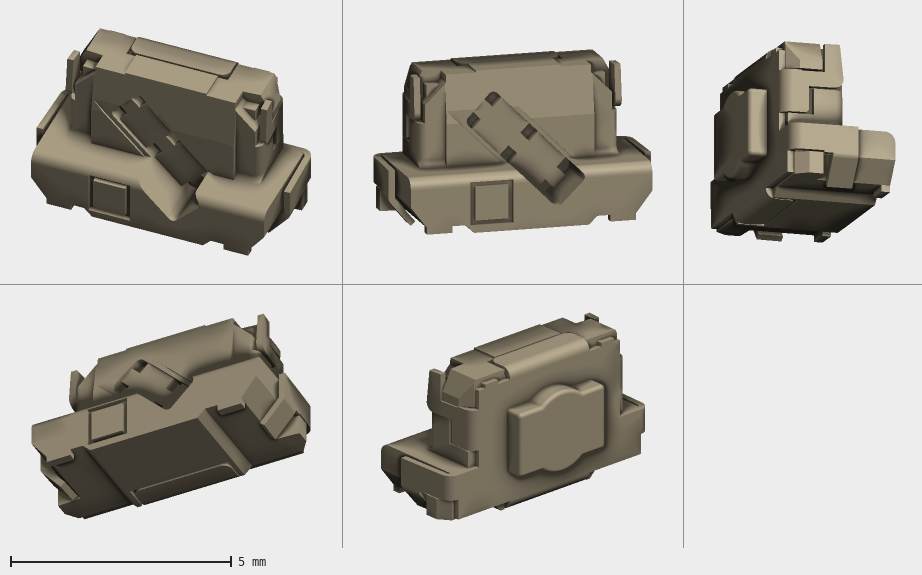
import cadquery as cq
import math

LENGTH = 6.2
HEIGHT = 3.5
DEPTH = 3.0
MID_Z = 1.75
REACH = 3.72

SHEET = 0.15
COVER_BACK = 2.555
BEND_RADIUS = 0.27
BEND_Y = COVER_BACK - BEND_RADIUS
BACK_Y = COVER_BACK - SHEET

BASE_HALF = 2.85
BASE_TOP = 1.345
BASE_ROUND = 0.25
BELLY_Z = 0.19
SKIRT_Z = 0.695
SKIRT_HALF = 2.47
KEEL_HALF = 1.36
KEEL_FOOT_HALF = 1.55
FOOT_INNER = 1.865
FOOT_BOTTOM = 0.04
FOOT_DEPTH = 0.205
CORNER_CHAMFER = (0.07, 0.025)
LUG_HALF = 3.06
LUG_FRONT = (1.74, 1.78)
LUG_CHAMFER_Y = 2.12

TOWER_HALF = 2.355
TOWER_FRONT = 1.055
TOWER_ROUND = 0.2
ROOT_RADIUS = 0.155
HEAD_HALF = 2.4
HEAD_BOTTOM = 2.795
HEAD_SLOPE_Z = 2.98
HEAD_TOP = 3.46
HEAD_TOP_HALF = 2.13
HEAD_CHAMFER = (0.22, 0.28)
PANEL_HALF = 1.74
PANEL_FRONT = 0.905
PANEL_BREAK_Z = 2.35
PANEL_LEAN = 0.17
RIDGE_HALF = 1.0

SLOT_INNER = 1.71
SLOT_WALL_Z = 3.285
SLOT_BACK = (1.54, 1.59)
LEDGE_X = (1.8, 2.11)
LEDGE_FRONT = 1.31
LEDGE_BOTTOM = 2.85
LEDGE_TOP = 3.19

RECESS_HALF = 2.21
RECESS_BOTTOM = 1.74
RECESS_STEP_Y = 1.78
RECESS_STEP_Z = 2.35

LABEL_ANGLE = -45.0
LABEL_LENGTH = 2.73
LABEL_WIDTH = 0.985
LABEL_ROUND = 0.135
LABEL_FLOOR = 1.04
BAND_WIDTH = 1.2
BAND_FLOOR = 0.955
DENT = 0.3
DENT_DEPTH = 0.25
PAD_X = -0.935
PAD_Z = 0.675
PAD_SIZE = 0.78
PAD_GROOVE_SIZE = 1.015
PAD_GROOVE_DEPTH = 0.125

COVER_HALF = 2.15
COVER_BOTTOM = 0.24
SHOULDER_Z = 3.24
EAR_X = (1.575, 1.965)
EAR_TOP = 3.34
TONGUE_HALF = 1.21
TONGUE_END = 1.85
TONGUE_ROUND = 0.22
TONGUE_BEND = 0.24
TONGUE_ROOT_Z = 2.975
TONGUE_CLEARANCE = 0.04
TONGUE_POCKET_FRONT = 1.79

LOWER_LEAN = 1.7
LOWER_TIP = 0.96
LOWER_STEP_Y = 1.76
LOWER_STEP_Z = 0.74
UPPER_HALF = 2.45
UPPER_LEAN = 3.6
UPPER_TIP = 1.105
UPPER_BOTTOM = 1.775
UPPER_TOP = 2.765
ARM_BOTTOM = 2.39
ARM_TOP = 2.74
ARM_STEP_Y = 2.08
ARM_REAR = 1.91
ARM_CHAMFER = 0.06
ARM_ROUND = 0.205
CLIP_FRONT = 1.19
CLIP_REAR = 1.54
CLIP_TOP = 3.4
TAB_WIDTH = 0.595
TAB_ANGLE = 40.0
TAB_BEND_Z = 0.63
TAB_BOTTOM = 0.02
TAB_ROUND = 0.155

BUTTON_HALF_X = 1.3
BUTTON_HALF_Z = 0.79
BUTTON_RADIUS = 1.0
BUTTON_CORNER = 0.085
BUTTON_EDGE = 0.09


def box(x0, x1, y0, y1, z0, z1):
    return cq.Workplane("XY").box(x1 - x0, y1 - y0, z1 - z0, centered=False).translate((x0, y0, z0))


def across(points, half_width):
    """Extrude a (Y, Z) outline symmetrically about the middle plane."""
    return cq.Workplane("YZ").polyline(points).close().extrude(half_width, both=True)


def along_y(points, y0, y1):
    """Extrude an (X, Z) outline from y0 to y1."""
    return cq.Workplane("XZ", origin=(0, y0, 0)).polyline(points).close().extrude(y0 - y1)


def upright(points, z0, z1):
    """Extrude an (X, Y) outline from z0 to z1."""
    return cq.Workplane("XY", origin=(0, 0, z0)).polyline(points).close().extrude(z1 - z0)


def both_sides(left):
    """Return a left-hand shape together with its mirror image."""
    return left.union(left.mirror("YZ"))


def top_and_bottom(upper):
    """Return an upper shape together with its mirror image about mid height."""
    return upper.union(upper.mirror("XY", (0, 0, HEIGHT / 2)))


def label_plane(y):
    """Plane facing forward at y, turned to the label's diagonal."""
    front = cq.Workplane("XZ", origin=(0, y, MID_Z))
    return front.transformed(rotate=(0, 0, LABEL_ANGLE))


def make_base():
    right = [
        (KEEL_HALF, 0),
        (KEEL_FOOT_HALF, BELLY_Z),
        (SKIRT_HALF, BELLY_Z),
        (BASE_HALF, SKIRT_Z),
        (BASE_HALF, BASE_TOP),
    ]
    left = [(-x, z) for x, z in reversed(right)]
    base = along_y(right + left, 0, BACK_Y)
    base = base.faces(">Z").edges("<Y").fillet(BASE_ROUND)
    chamfer_x, chamfer_y = CORNER_CHAMFER
    corner = upright(
        [
            (-BASE_HALF, BACK_Y),
            (-BASE_HALF, BACK_Y - chamfer_y),
            (-BASE_HALF + chamfer_x, BACK_Y),
        ],
        0,
        BASE_TOP,
    )
    foot = box(-SKIRT_HALF, -FOOT_INNER, 0, FOOT_DEPTH, FOOT_BOTTOM, BELLY_Z)
    front_inner, front_outer = LUG_FRONT
    lug = upright(
        [
            (-SKIRT_HALF, front_inner),
            (-LUG_HALF, front_outer),
            (-LUG_HALF, LUG_CHAMFER_Y),
            (-BASE_HALF, BACK_Y),
            (-SKIRT_HALF, BACK_Y),
        ],
        BELLY_Z,
        SKIRT_Z,
    )
    return base.cut(both_sides(corner)).union(both_sides(foot)).union(both_sides(lug))


def panel_section(half_width, top, back):
    """Front panel of the tower: upright below, leaning back above the break."""
    top_y = PANEL_FRONT + PANEL_LEAN * (top - PANEL_BREAK_Z)
    outline = [
        (PANEL_FRONT, BASE_TOP),
        (PANEL_FRONT, PANEL_BREAK_Z),
        (top_y, top),
        (back, top),
        (back, BASE_TOP),
    ]
    return across(outline, half_width)


def panel_clearance():
    """Wedge of space in front of the leaning part of the panel."""
    top_y = PANEL_FRONT + PANEL_LEAN * (HEIGHT - PANEL_BREAK_Z)
    outline = [(PANEL_FRONT, PANEL_BREAK_Z), (top_y, HEIGHT), (PANEL_FRONT, HEIGHT)]
    return across(outline, PANEL_HALF)


def make_head():
    """Upper end of the tower, with sloped shoulders and chamfered rear corners."""
    right = [(HEAD_HALF, HEAD_BOTTOM), (HEAD_HALF, HEAD_SLOPE_Z), (HEAD_TOP_HALF, HEAD_TOP)]
    left = [(-x, z) for x, z in reversed(right)]
    head = along_y(right + left, TOWER_FRONT, BACK_Y)
    chamfer_x, chamfer_y = HEAD_CHAMFER
    corner = upright(
        [
            (-HEAD_HALF, BACK_Y),
            (-HEAD_HALF, BACK_Y - chamfer_y),
            (-HEAD_HALF + chamfer_x, BACK_Y),
        ],
        HEAD_BOTTOM,
        HEAD_TOP,
    )
    return head.cut(both_sides(corner))


def make_root_fillet():
    """Concave fillet at the foot of the left front corner of the tower."""
    corner_x = -TOWER_HALF + TOWER_ROUND
    corner_y = TOWER_FRONT + TOWER_ROUND
    rim = TOWER_ROUND + ROOT_RADIUS
    sweep = ROOT_RADIUS * (1 - math.sqrt(0.5))

    def profile(plane):
        return (
            plane.moveTo(0, 0)
            .lineTo(rim, 0)
            .threePointArc((TOWER_ROUND + sweep, sweep), (TOWER_ROUND, ROOT_RADIUS))
            .lineTo(0, ROOT_RADIUS)
            .close()
        )

    origin = (corner_x, corner_y, BASE_TOP)
    straight_plane = cq.Plane(origin=origin, xDir=(0, -1, 0), normal=(-1, 0, 0))
    straight = profile(cq.Workplane(straight_plane)).extrude(-(TOWER_HALF - TOWER_ROUND - PANEL_HALF))
    flare_plane = cq.Plane(origin=origin, xDir=(-1, 0, 0), normal=(0, 1, 0))
    flare = profile(cq.Workplane(flare_plane)).revolve(90, (0, 0, 0), (0, 1, 0))
    limit = box(-TOWER_HALF, 0, 0, BACK_Y, BASE_TOP, HEIGHT)
    return straight.union(flare.intersect(limit))


def make_tower():
    trunk = box(-TOWER_HALF, TOWER_HALF, TOWER_FRONT, BACK_Y, BASE_TOP, HEAD_BOTTOM)
    trunk = trunk.edges("|Z and <Y").fillet(TOWER_ROUND)
    tower = trunk.union(make_head())
    tower = tower.union(panel_section(PANEL_HALF, HEAD_TOP, BACK_Y))
    tower = tower.union(panel_section(RIDGE_HALF, HEIGHT, TONGUE_POCKET_FRONT))
    tower = tower.cut(panel_clearance())
    return tower.union(both_sides(make_root_fillet()))


def clip_slot():
    """Open corner with a 45 degree floor in front of the upper clip."""
    floor_run = SLOT_WALL_Z - HEAD_BOTTOM
    outline = [
        (-SLOT_INNER, HEIGHT),
        (-SLOT_INNER, SLOT_WALL_Z),
        (-SLOT_INNER - floor_run, HEAD_BOTTOM),
        (-REACH, HEAD_BOTTOM),
        (-REACH, HEIGHT),
    ]
    back_inner, back_outer = SLOT_BACK
    plan = [
        (-SLOT_INNER, 0),
        (-SLOT_INNER, back_inner),
        (-HEAD_HALF, back_outer),
        (-HEAD_HALF, 0),
    ]
    return along_y(outline, 0, BACK_Y).intersect(upright(plan, 0, HEIGHT))


def slot_ledge():
    inner, outer = LEDGE_X
    return box(-outer, -inner, LEDGE_FRONT, max(SLOT_BACK), LEDGE_BOTTOM, LEDGE_TOP)


def wing_recess():
    """Stepped recess in the left side, relieved behind the wing bend."""
    plan = upright(
        [
            (-RECESS_HALF, 0),
            (-RECESS_HALF, BACK_Y - SHEET / 2),
            (-RECESS_HALF + BEND_RADIUS - SHEET, BACK_Y),
            (-REACH, BACK_Y),
            (-REACH, 0),
        ],
        0,
        HEIGHT,
    )
    outline = [
        (BACK_Y, RECESS_BOTTOM),
        (RECESS_STEP_Y, RECESS_BOTTOM),
        (RECESS_STEP_Y, RECESS_STEP_Z),
        (0, RECESS_STEP_Z),
        (0, HEAD_BOTTOM),
        (BACK_Y, HEAD_BOTTOM),
    ]
    return plan.intersect(across(outline, REACH))


def tongue_pocket():
    """Recess in the top for the folded tongue, with its rear edge eased."""
    floor = HEIGHT - SHEET
    ease = TONGUE_BEND - SHEET
    outline = [
        (TONGUE_POCKET_FRONT, HEIGHT),
        (TONGUE_POCKET_FRONT, floor),
        (BACK_Y - ease, floor),
        (BACK_Y, floor - ease),
        (BACK_Y, HEIGHT),
    ]
    return across(outline, TONGUE_HALF + TONGUE_CLEARANCE)


def label_pocket():
    """Diagonal rounded pocket with three pairs of square dents in its floor."""
    pocket = label_plane(0).rect(LABEL_LENGTH, LABEL_WIDTH).extrude(-LABEL_FLOOR)
    dent_x = (LABEL_LENGTH - DENT) / 2
    dent_y = (LABEL_WIDTH - DENT) / 2
    places = [(x, side * dent_y) for x in (-dent_x, 0, dent_x) for side in (-1, 1)]
    dents = label_plane(LABEL_FLOOR).pushPoints(places).rect(DENT, DENT).extrude(-DENT_DEPTH)
    rounded = label_plane(0).rect(LABEL_LENGTH, LABEL_WIDTH).extrude(-LABEL_FLOOR - DENT_DEPTH)
    rounded = rounded.edges("|Y").fillet(LABEL_ROUND)
    return pocket.union(dents).intersect(rounded)


def label_band():
    """Shallow diagonal relief across the tower panel, wider than the label."""
    band = label_plane(0).rect(2 * REACH, BAND_WIDTH).extrude(-BAND_FLOOR)
    return band.intersect(box(-PANEL_HALF, PANEL_HALF, 0, BAND_FLOOR, BASE_TOP, HEIGHT))


def pad_groove():
    face = cq.Workplane("XZ", origin=(PAD_X, 0, PAD_Z))
    ring = face.rect(PAD_GROOVE_SIZE, PAD_GROOVE_SIZE).rect(PAD_SIZE, PAD_SIZE)
    return ring.extrude(-PAD_GROOVE_DEPTH)


def make_housing():
    tower = make_tower().cut(both_sides(clip_slot())).union(both_sides(slot_ledge()))
    tower = tower.cut(both_sides(wing_recess())).cut(label_band())
    housing = make_base().union(tower)
    housing = housing.cut(top_and_bottom(tongue_pocket()))
    return housing.cut(label_pocket()).cut(pad_groove())


def button_block(y1):
    face = cq.Workplane("XZ", origin=(0, BACK_Y, MID_Z))
    block = face.rect(2 * BUTTON_HALF_X, 2 * BUTTON_HALF_Z).extrude(BACK_Y - y1)
    return block.edges("|Y").fillet(BUTTON_CORNER)


def button_disc(y1):
    return cq.Workplane("XZ", origin=(0, BACK_Y, MID_Z)).circle(BUTTON_RADIUS).extrude(BACK_Y - y1)


def make_button():
    block = button_block(DEPTH).faces(">Y").edges().fillet(BUTTON_EDGE)
    disc = button_disc(DEPTH).faces(">Y").edges().fillet(BUTTON_EDGE)
    return block.union(disc)


def make_back_plate():
    lower_half = wing_bend_x(LENGTH / 2, LOWER_LEAN, LOWER_TIP)
    ear_inner, ear_outer = EAR_X
    right = [
        (lower_half, COVER_BOTTOM),
        (lower_half, BASE_TOP),
        (COVER_HALF, BASE_TOP),
        (COVER_HALF, SHOULDER_Z),
        (ear_outer, SHOULDER_Z),
        (ear_outer, EAR_TOP),
        (ear_inner, EAR_TOP),
        (ear_inner, SHOULDER_Z),
    ]
    left = [(-x, z) for x, z in reversed(right)]
    plate = along_y(right + left, BACK_Y, COVER_BACK)
    return plate.cut(button_block(COVER_BACK)).cut(button_disc(COVER_BACK))


def make_tongue():
    """Tongue folded forward over the top of the housing."""
    bend_y = COVER_BACK - TONGUE_BEND
    bend_z = HEIGHT - TONGUE_BEND
    inner = TONGUE_BEND - SHEET
    outer_mid = TONGUE_BEND * math.sqrt(0.5)
    inner_mid = inner * math.sqrt(0.5)
    strip = (
        cq.Workplane("YZ")
        .moveTo(COVER_BACK, TONGUE_ROOT_Z)
        .lineTo(COVER_BACK, bend_z)
        .threePointArc((bend_y + outer_mid, bend_z + outer_mid), (bend_y, HEIGHT))
        .lineTo(TONGUE_END, HEIGHT)
        .lineTo(TONGUE_END, HEIGHT - SHEET)
        .lineTo(bend_y, HEIGHT - SHEET)
        .threePointArc((bend_y + inner_mid, bend_z + inner_mid), (BACK_Y, bend_z))
        .lineTo(BACK_Y, TONGUE_ROOT_Z)
        .close()
        .extrude(TONGUE_HALF, both=True)
    )
    return strip.faces("<Y").edges("|Z").fillet(TONGUE_ROUND)


def wing_bend_x(tip_half, lean, tip_y):
    """Distance of the bend axis from the middle for a wing that flares out to tip_half."""
    angle = math.radians(lean)
    run = (BEND_Y + BEND_RADIUS * math.sin(angle) - tip_y) / math.cos(angle)
    return tip_half - BEND_RADIUS * math.cos(angle) - run * math.sin(angle)


def wing_sheet(tip_half, lean, tip_y):
    """Full-height left wing: a bend at the back and a straight run flaring outward."""
    bend_x = -wing_bend_x(tip_half, lean, tip_y)
    anchor_x = -COVER_HALF + BEND_RADIUS
    inner = BEND_RADIUS - SHEET
    end = math.radians(180 - lean)
    middle = (math.radians(90) + end) / 2
    inner_tip = (
        -tip_half + SHEET * math.cos(math.radians(lean)),
        tip_y - SHEET * math.sin(math.radians(lean)),
    )

    def on_bend(radius, angle):
        return bend_x + radius * math.cos(angle), BEND_Y + radius * math.sin(angle)

    return (
        cq.Workplane("XY")
        .moveTo(bend_x, COVER_BACK)
        .threePointArc(on_bend(BEND_RADIUS, middle), on_bend(BEND_RADIUS, end))
        .lineTo(-tip_half, tip_y)
        .lineTo(*inner_tip)
        .lineTo(*on_bend(inner, end))
        .threePointArc(on_bend(inner, middle), (bend_x, BACK_Y))
        .lineTo(anchor_x, BACK_Y)
        .lineTo(anchor_x, COVER_BACK)
        .close()
        .extrude(HEIGHT)
    )


def solder_tab():
    """Tab at the tip of the left lower wing, bent inward under the base."""
    lean = math.radians(LOWER_LEAN)
    slope = math.radians(TAB_ANGLE)
    tip_x = (TAB_BEND_Z - TAB_BOTTOM) * math.tan(slope)
    inner_bend_z = TAB_BEND_Z + SHEET * math.tan(slope / 2)
    plane = cq.Plane(
        origin=(-LENGTH / 2, LOWER_TIP, 0),
        xDir=(math.cos(lean), -math.sin(lean), 0),
        normal=(-math.sin(lean), -math.cos(lean), 0),
    )
    tab = (
        cq.Workplane(plane)
        .moveTo(0, LOWER_STEP_Z)
        .lineTo(0, TAB_BEND_Z)
        .lineTo(tip_x, TAB_BOTTOM)
        .lineTo(tip_x + SHEET * math.cos(slope), TAB_BOTTOM + SHEET * math.sin(slope))
        .lineTo(SHEET, inner_bend_z)
        .lineTo(SHEET, LOWER_STEP_Z)
        .close()
        .extrude(-TAB_WIDTH)
    )
    outer_bend = cq.selectors.NearestToPointSelector((-LENGTH / 2, LOWER_TIP + TAB_WIDTH / 2, TAB_BEND_Z))
    return tab.edges(outer_bend).fillet(TAB_ROUND)


def make_lower_wing():
    outline = [
        (0, BASE_TOP),
        (0, SKIRT_Z),
        (LOWER_STEP_Y, SKIRT_Z),
        (LOWER_STEP_Y, LOWER_STEP_Z),
        (COVER_BACK, LOWER_STEP_Z),
        (COVER_BACK, BASE_TOP),
    ]
    sheet = wing_sheet(LENGTH / 2, LOWER_LEAN, LOWER_TIP)
    return sheet.intersect(across(outline, REACH)).union(solder_tab())


def make_upper_wing():
    """S-shaped wing whose front end rises as a clip beside the tower head."""
    round_mid = ARM_ROUND * (1 - math.sqrt(0.5))
    outline = (
        cq.Workplane("YZ")
        .moveTo(COVER_BACK, UPPER_BOTTOM)
        .lineTo(ARM_REAR + ARM_CHAMFER, UPPER_BOTTOM)
        .lineTo(ARM_REAR, UPPER_BOTTOM + ARM_CHAMFER)
        .lineTo(ARM_REAR, ARM_BOTTOM)
        .lineTo(UPPER_TIP + ARM_ROUND, ARM_BOTTOM)
        .threePointArc((UPPER_TIP + round_mid, ARM_BOTTOM + round_mid), (UPPER_TIP, ARM_BOTTOM + ARM_ROUND))
        .lineTo(CLIP_FRONT, CLIP_TOP)
        .lineTo(CLIP_REAR, CLIP_TOP)
        .lineTo(CLIP_REAR, ARM_TOP)
        .lineTo(ARM_STEP_Y, ARM_TOP)
        .lineTo(ARM_STEP_Y, UPPER_TOP)
        .lineTo(COVER_BACK, UPPER_TOP)
        .close()
        .extrude(REACH, both=True)
    )
    return wing_sheet(UPPER_HALF, UPPER_LEAN, UPPER_TIP).intersect(outline)


def make_cover():
    cover = make_back_plate().union(top_and_bottom(make_tongue()))
    return cover.union(both_sides(make_lower_wing())).union(both_sides(make_upper_wing()))


housing = make_housing()
button = make_button()
cover = make_cover()

result = cq.Compound.makeCompound([housing.val(), button.val(), cover.val()])